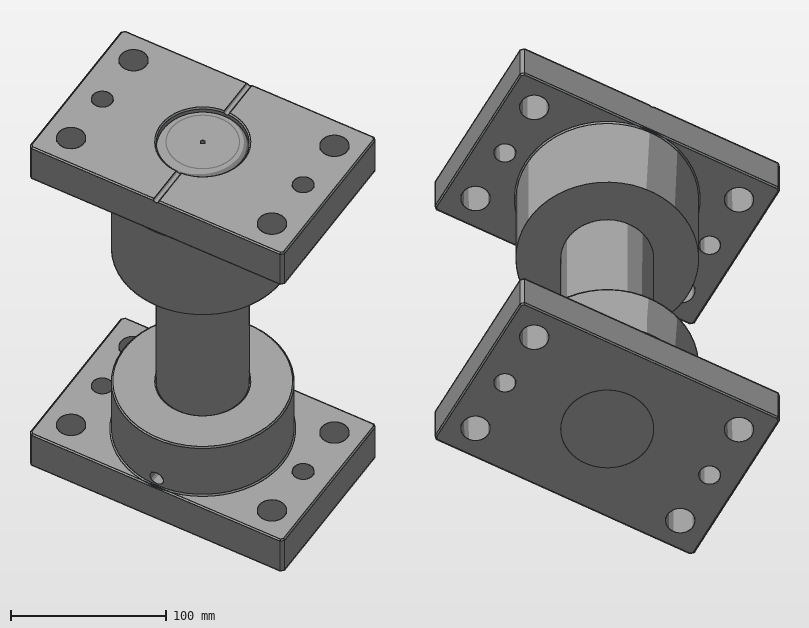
import cadquery as cq

total_height = 300.0
plate_length = 190.0
plate_width = 120.0
plate_thickness = 30.0
plate_edge_chamfer = 1.0
plate_corner_chamfer = 2.0

hole_offset_x = 75.0
bolt_offset_y = 40.0
bolt_hole_diameter = 19.0
dowel_hole_diameter = 14.0

boss_diameter = 118.0
boss_root_size = 1.0
holder_height = 75.0
holder_rim_chamfer = 1.0
bush_height = 100.0

column_diameter = 60.0
column_tip_radius = 6.3
bore_chamfer = 1.0
center_hole_diameter = 3.0
center_hole_depth = 6.0

groove_diameter = 4.0

cross_hole_diameter = 10.0
cross_hole_height = 37.5

column_radius = column_diameter / 2


def make_plate():
    """Rectangular plate standing on Z = 0, with all of its edges chamfered."""
    return (
        cq.Workplane("XY")
        .box(plate_length, plate_width, plate_thickness, centered=(True, True, False))
        .edges("|Z")
        .chamfer(plate_corner_chamfer)
        .faces("<Z or >Z")
        .edges()
        .chamfer(plate_edge_chamfer)
    )


def make_boss(height):
    """Round boss from the plate face up to the given height, with a sloped root on the plate."""
    radius = boss_diameter / 2
    return (
        cq.Workplane("XZ")
        .moveTo(0, plate_thickness)
        .lineTo(radius + boss_root_size, plate_thickness)
        .lineTo(radius, plate_thickness + boss_root_size)
        .lineTo(radius, height)
        .lineTo(0, height)
        .close()
        .revolve(360, (0, 0, 0), (0, 1, 0))
    )


def make_plate_holes():
    """Cutter for the four corner bolt holes and the two dowel holes between them."""
    bolt_holes = (
        cq.Workplane("XY")
        .rect(2 * hole_offset_x, 2 * bolt_offset_y, forConstruction=True)
        .vertices()
        .circle(bolt_hole_diameter / 2)
        .extrude(plate_thickness)
    )
    dowel_holes = (
        cq.Workplane("XY")
        .pushPoints([(-hole_offset_x, 0), (hole_offset_x, 0)])
        .circle(dowel_hole_diameter / 2)
        .extrude(plate_thickness)
    )
    return bolt_holes.union(dowel_holes)


def make_column_space(height):
    """Cutter for the column bore, up to the given height."""
    return cq.Workplane("XY").circle(column_radius).extrude(height)


def make_holder():
    """Lower flange that grips the foot of the column; the bore is the smaller circle on its top face."""
    boss = make_boss(holder_height).faces(">Z").edges().chamfer(holder_rim_chamfer)
    cross_hole = (
        cq.Workplane("XZ")
        .center(0, cross_hole_height)
        .circle(cross_hole_diameter / 2)
        .extrude(plate_width / 2)
    )
    return (
        make_plate()
        .cut(make_plate_holes())
        .union(boss)
        .cut(make_column_space(holder_height))
        .faces(">Z")
        .edges(cq.selectors.RadiusNthSelector(0))
        .chamfer(bore_chamfer)
        .cut(cross_hole)
    )


def make_bush():
    """Upper flange, turned over so that its plate is on top; the bore is the largest circle on the plate."""
    groove_radius = groove_diameter / 2
    groove = (
        cq.Workplane("XZ")
        .moveTo(-groove_radius, 0)
        .threePointArc((0, groove_radius), (groove_radius, 0))
        .close()
        .extrude(plate_width / 2, both=True)
    )
    return (
        make_plate()
        .cut(make_plate_holes())
        .union(make_boss(bush_height))
        .cut(make_column_space(bush_height))
        .faces("<Z")
        .edges(cq.selectors.RadiusNthSelector(-1))
        .chamfer(bore_chamfer)
        .cut(groove)
        .rotate((0, 0, 0), (1, 0, 0), 180)
        .translate((0, 0, total_height))
    )


def make_column():
    """Round column with a rounded tip and a small center hole in its top face."""
    return (
        cq.Workplane("XY")
        .circle(column_radius)
        .extrude(total_height)
        .faces(">Z")
        .edges()
        .fillet(column_tip_radius)
        .faces(">Z")
        .workplane()
        .hole(center_hole_diameter, center_hole_depth)
    )


holder = make_holder()
bush = make_bush()
column = make_column()

result = cq.Compound.makeCompound([
    holder.solids().val(),
    bush.solids().val(),
    column.solids().val(),
])